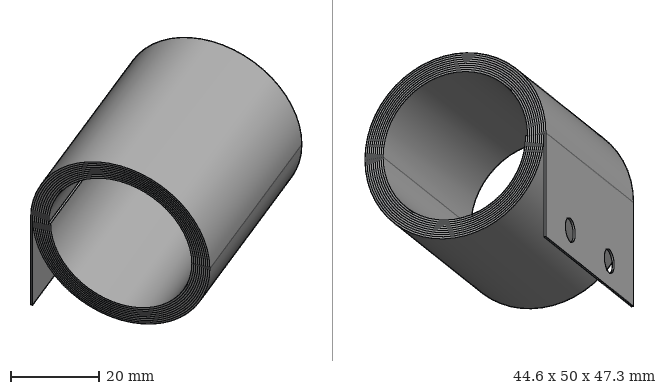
import cadquery as cq

width = 50.0

pitch = 0.5
turn_gap = 0.001
thickness = pitch - turn_gap
turns = 9
outer_radius = 22.3
tail_length = 25.0

hole_diameter = 5.6
hole_spacing = 22.2
hole_height = 6.25

def half_turn_ends(start_radius):
    """X positions, outside to inside, where the half-circles meet at Z = 0.

    Upper arcs are centred on X = 0; lower arcs are centred half a pitch to the right.
    """
    ends = []
    for turn in range(turns):
        radius = start_radius - turn * pitch
        ends += [-radius, radius]
    ends.append(-(start_radius - turns * pitch))
    return ends

def add_half_turns(sketch, ends, first_side):
    """Draw half-circles through the given ends, alternating above and below Z = 0."""
    side = first_side
    for start, end in zip(ends, ends[1:]):
        middle = (start + end) / 2
        radius = abs(end - start) / 2
        sketch = sketch.threePointArc((middle, side * radius), (end, 0))
        side = -side
    return sketch

def make_strip():
    outer_ends = half_turn_ends(outer_radius)
    inner_ends = half_turn_ends(outer_radius - thickness)
    sketch = cq.Workplane("XZ").moveTo(-outer_radius, -tail_length).lineTo(outer_ends[0], 0)
    sketch = add_half_turns(sketch, outer_ends, 1)
    sketch = sketch.lineTo(inner_ends[-1], 0)
    sketch = add_half_turns(sketch, inner_ends[::-1], -1)
    sketch = sketch.lineTo(thickness - outer_radius, -tail_length).close()
    return sketch.extrude(width / 2, both=True)

def make_tail_holes():
    """Cutters that start outside the tail and stop just past its inner face."""
    cutter_length = 4 * thickness
    return (
        cq.Workplane("YZ", origin=(-outer_radius, 0, hole_height - tail_length))
        .pushPoints([(-hole_spacing / 2, 0), (hole_spacing / 2, 0)])
        .circle(hole_diameter / 2)
        .extrude(cutter_length / 2, both=True)
    )

result = make_strip().cut(make_tail_holes())